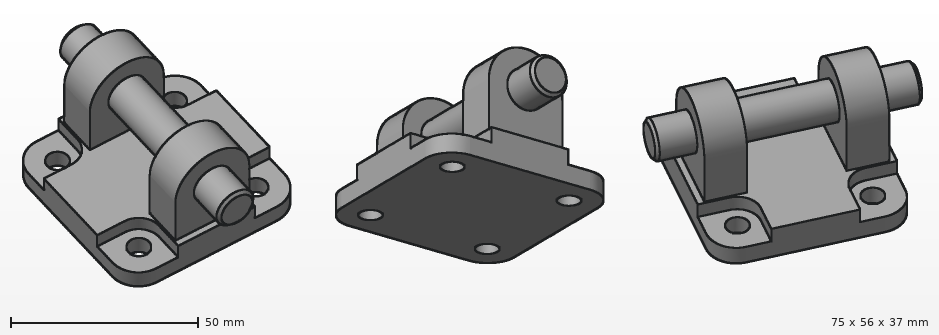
import cadquery as cq

plate_side = 56.0
plate_thickness = 10.0
plate_corner_radius = 8.5

seat_side = 15.5
seat_depth = 4.4
seat_inner_radius = 6.6
screw_hole_diameter = 6.6
screw_hole_spacing = 38.0

lug_width = 24.0
lug_thickness = 12.0
lug_gap = 28.0
pin_axis_height = 25.0

pin_length = 75.0
pin_diameter = 12.0
pin_chamfer = 1.0


def make_plate():
    """Square plate with rounded vertical edges, standing on Z = 0."""
    return (
        cq.Workplane("XY")
        .box(plate_side, plate_side, plate_thickness, centered=(True, True, False))
        .edges("|Z")
        .fillet(plate_corner_radius)
    )


def make_lug(center_x):
    """Upright lug with a round top that is concentric with the pin."""
    radius = lug_width / 2
    return (
        cq.Workplane("YZ", origin=(center_x - lug_thickness / 2, 0, 0))
        .moveTo(-radius, plate_thickness)
        .lineTo(-radius, pin_axis_height)
        .threePointArc((0, pin_axis_height + radius), (radius, pin_axis_height))
        .lineTo(radius, plate_thickness)
        .close()
        .extrude(lug_thickness)
    )


def make_seat_cutter(side_x, side_y):
    """Corner recess whose only vertical edge inside the plate is rounded."""
    center = (plate_side - seat_side) / 2
    inner_edge = ("<X" if side_x > 0 else ">X") + " and " + ("<Y" if side_y > 0 else ">Y")
    return (
        cq.Workplane("XY", origin=(side_x * center, side_y * center, plate_thickness - seat_depth))
        .box(seat_side, seat_side, seat_depth, centered=(True, True, False))
        .edges("|Z")
        .edges(inner_edge)
        .fillet(seat_inner_radius)
    )


def make_pin_cylinder():
    """Plain cylinder along X on the pin axis."""
    return (
        cq.Workplane("YZ", origin=(-pin_length / 2, 0, pin_axis_height))
        .circle(pin_diameter / 2)
        .extrude(pin_length)
    )


def make_bracket():
    """Plate and both lugs in one piece, with screw seats, screw holes and pin bore."""
    body = make_plate()
    for side in (-1, 1):
        body = body.union(make_lug(side * (lug_gap + lug_thickness) / 2))
    for side_x in (-1, 1):
        for side_y in (-1, 1):
            body = body.cut(make_seat_cutter(side_x, side_y))
    screw_holes = (
        cq.Workplane("XY")
        .rect(screw_hole_spacing, screw_hole_spacing, forConstruction=True)
        .vertices()
        .circle(screw_hole_diameter / 2)
        .extrude(plate_thickness)
    )
    return body.cut(screw_holes).cut(make_pin_cylinder())


def make_pin():
    """Straight pin with a chamfer at each end."""
    return make_pin_cylinder().faces("<X or >X").chamfer(pin_chamfer)


bracket = make_bracket()
pin = make_pin()

result = cq.Compound.makeCompound([bracket.val(), pin.val()])